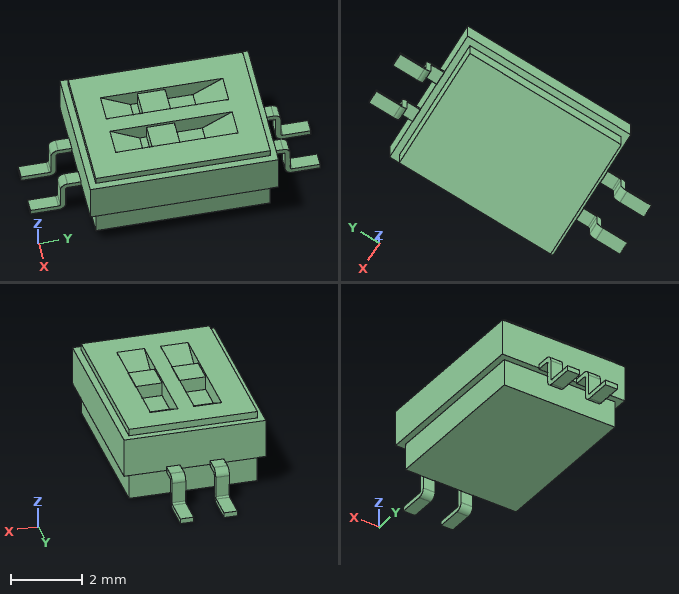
import cadquery as cq

body_width = 4.13
body_length = 5.395
body_height = 1.17
step_inset = 0.2
lid_height = 0.21
base_height = 0.86
standoff = 0.06

pitch = 1.27
position_count = 2

slot_width = 0.8
slot_length = 3.5
slot_depth = 0.49
floor_length = 1.79
slider_size = 0.8
slider_shift_x = -0.025
slider_center_y = -0.3
slider_drop = 0.08

lead_span = 8.3
lead_width = 0.4
lead_thickness = 0.16
lead_top = 1.04
lead_reach = 3.295
bend_inner_radius = 0.05
bend_outer_radius = bend_inner_radius + lead_thickness

inner_width = body_width - 2 * step_inset
inner_length = body_length - 2 * step_inset
body_bottom = standoff + base_height
body_top = body_bottom + body_height
lid_top = body_top + lid_height
slot_floor = lid_top - slot_depth
position_xs = [(i - (position_count - 1) / 2) * pitch for i in range(position_count)]


def block(width, length, bottom, top, center_x=0, center_y=0):
    """Box centred at the given X and Y, reaching from bottom to top in Z."""
    return (
        cq.Workplane("XY")
        .box(width, length, top - bottom, centered=(True, True, False))
        .translate((center_x, center_y, bottom))
    )


def extrude_across(profile, width, center_x):
    """Extrude a closed YZ profile along X, centred at center_x."""
    return profile.extrude(width / 2, both=True).translate((center_x, 0, 0))


def slot_cutter(center_x):
    """Flat-floored slot whose two ends ramp up to the lid's top face."""
    profile = (
        cq.Workplane("YZ")
        .moveTo(-slot_length / 2, lid_top)
        .lineTo(-floor_length / 2, slot_floor)
        .lineTo(floor_length / 2, slot_floor)
        .lineTo(slot_length / 2, lid_top)
        .close()
    )
    return extrude_across(profile, slot_width, center_x)


def slider(center_x):
    """Square slider standing on the slot floor."""
    top = lid_top - slider_drop
    return block(slider_size, slider_size, slot_floor, top, center_x + slider_shift_x, slider_center_y)


def lead(center_x):
    """Lead on the back (+Y) side: out of the body, down, then out to a flat foot."""
    body_face = body_length / 2
    tip = lead_span / 2
    upright_inner = lead_reach - lead_thickness
    profile = (
        cq.Workplane("YZ")
        .moveTo(body_face, lead_top)
        .lineTo(lead_reach - bend_outer_radius, lead_top)
        .radiusArc((lead_reach, lead_top - bend_outer_radius), bend_outer_radius)
        .lineTo(lead_reach, bend_outer_radius)
        .radiusArc((lead_reach + bend_inner_radius, lead_thickness), -bend_inner_radius)
        .lineTo(tip, lead_thickness)
        .lineTo(tip, 0)
        .lineTo(upright_inner + bend_outer_radius, 0)
        .radiusArc((upright_inner, bend_outer_radius), bend_outer_radius)
        .lineTo(upright_inner, lead_top - bend_outer_radius)
        .radiusArc((upright_inner - bend_inner_radius, lead_top - lead_thickness), -bend_inner_radius)
        .lineTo(body_face, lead_top - lead_thickness)
        .close()
    )
    return extrude_across(profile, lead_width, center_x)


base = block(inner_width, inner_length, standoff, body_bottom)
body = block(body_width, body_length, body_bottom, body_top)
lid = block(inner_width, inner_length, body_top, lid_top)
result = base.union(body).union(lid)

for x in position_xs:
    back_lead = lead(x)
    front_lead = back_lead.mirror("XZ")
    result = result.cut(slot_cutter(x)).union(slider(x)).union(back_lead).union(front_lead)